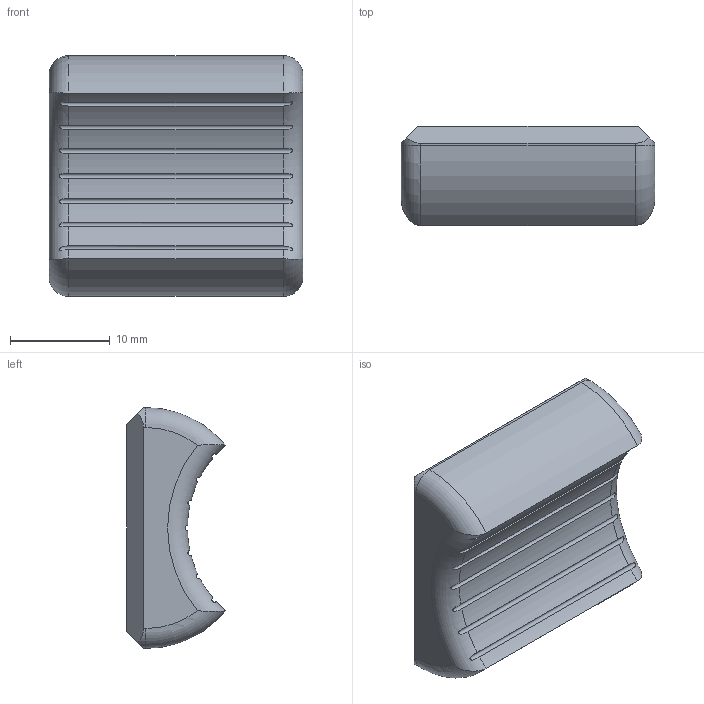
import cadquery as cq
import math

length = 25.5
depth = 9.94
height = 24.19

tip_spacing = 16.65
flat_depth = 1.95
grip_radius = 11.0
end_fillet = 2.0
back_chamfer = 1.7

groove_radius = 0.25
groove_angles = (0, 13.2, 26.2, 41.0)

half_height = height / 2
half_tip = tip_spacing / 2
flat_front_y = depth - flat_depth

grip_axis_y = -math.sqrt(grip_radius**2 - half_tip**2)
grip_floor_y = grip_axis_y + grip_radius

tip_drop = half_height - half_tip
outer_radius = (flat_front_y**2 + tip_drop**2) / (2 * tip_drop)
outer_axis_z = half_height - outer_radius


def outer_arc_middle():
    """Return the point halfway along the upper outer arc."""
    half_sweep = math.asin(flat_front_y / outer_radius) / 2
    y = flat_front_y - outer_radius * math.sin(half_sweep)
    z = outer_axis_z + outer_radius * math.cos(half_sweep)
    return y, z


def make_body():
    """Extrude the side profile, centred along X."""
    arc_y, arc_z = outer_arc_middle()
    return (
        cq.Workplane("YZ")
        .moveTo(depth, half_height)
        .lineTo(flat_front_y, half_height)
        .threePointArc((arc_y, arc_z), (0, half_tip))
        .threePointArc((grip_floor_y, 0), (0, -half_tip))
        .threePointArc((arc_y, -arc_z), (flat_front_y, -half_height))
        .lineTo(depth, -half_height)
        .close()
        .extrude(length / 2, both=True)
    )


def round_ends(body):
    """Fillet the end outlines, except along the back."""
    selection_margin = 0.1
    near_back = cq.selectors.BoxSelector(
        (-length, depth - selection_margin, -height),
        (length, depth + selection_margin, height),
    )
    outline = body.faces("<X or >X").edges(cq.selectors.InverseSelector(near_back))
    return outline.fillet(end_fillet)


def chamfer_back(body):
    """Keep only the part inside a block that tapers at 45 degrees to the back."""
    block = (
        cq.Workplane("XY")
        .box(length, depth, height, centered=(True, False, True))
        .faces(">Y")
        .edges()
        .chamfer(back_chamfer)
    )
    return body.intersect(block)


def cut_grooves(body):
    """Cut the round grooves that run along X across the concave surface."""
    mirrored_angles = [-angle for angle in groove_angles if angle > 0]
    for angle_degrees in (*groove_angles, *mirrored_angles):
        angle = math.radians(angle_degrees)
        groove_y = grip_axis_y + grip_radius * math.cos(angle)
        groove_z = grip_radius * math.sin(angle)
        groove = (
            cq.Workplane("YZ")
            .center(groove_y, groove_z)
            .circle(groove_radius)
            .extrude(length / 2, both=True)
        )
        body = body.cut(groove)
    return body


result = cut_grooves(chamfer_back(round_ends(make_body())))